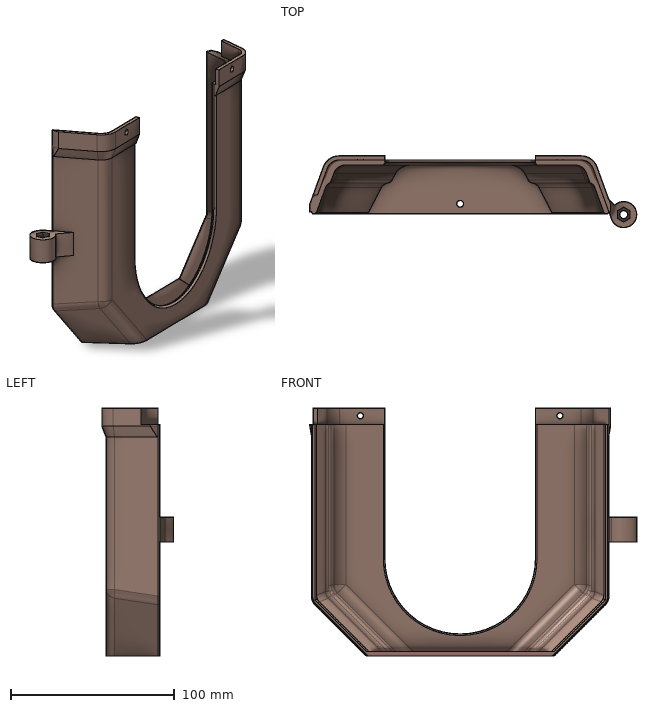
import cadquery as cq
import math

body_height = 141.5
total_height = 151.5
floor_thickness = 3.0
overshoot = 60.0

half_width = 91.3
corner_height = 33.4
wall_slope = 20.0
back_depth = 33.0
blend_radius = 8.0
outer_rim_chamfer = 1.2

thin_wall = 3.0
thick_wall = 4.8
thick_corner_wall = 5.8
plate_thickness = 3.0
step_depth = 19.0
step_corner_radius = 6.0
step_root_radius = 4.2
step_nose_radius = 3.4
step_nose_band = 0.4
inner_rim_chamfer = 0.5
flare_angle = 45.0

opening_radius = 46.0
opening_center_z = 59.5
opening_front_chamfer = 1.0
opening_back_chamfer = 1.2

lip_thickness = 2.5
lip_taper_bottom = 134.0
lip_taper_top = 140.5
lip_front = 1.2
lip_side_limit = 90.7
lip_side_growth = 0.46
lip_embed = 1.0
left_lip_front = 11.5

lip_hole_diameter = 3.5
floor_hole_diameter = 4.0
lip_hole_x = 61.0
lip_hole_z = 146.9
floor_hole_y = 6.2

boss_radius = 8.0
boss_x = 100.0
boss_y = -0.4
boss_bottom = 69.8
boss_height = 15.2
boss_bore = 4.8
nut_flats = 7.8
nut_depth = 6.0
neck_tangent_y = -3.0
neck_back_sum = 99.7
neck_root_y = 14.0

slope_rad = math.radians(wall_slope)
trim_size = 4 * half_width


def wall_x(y, offset=0.0):
    """X of the right outer wall at depth y, moved outwards by a normal offset."""
    return half_width - y * math.tan(slope_rad) + offset / math.cos(slope_rad)


def upright_plane(y):
    """Sketch plane facing the back, with Z upwards."""
    return cq.Workplane(cq.Plane(origin=(0, y, 0), xDir=(-1, 0, 0), normal=(0, 1, 0)))


def horizontal_slab(bottom, top):
    """Wide slab between two heights."""
    return cq.Workplane("XY").workplane(offset=bottom).rect(trim_size, trim_size).extrude(top - bottom)


def tapered_block(side_inset, corner_inset, depth, taper=wall_slope):
    """Solid between the side and corner walls, inset along their normals, back to depth."""
    side = half_width - side_inset / math.cos(slope_rad)
    diagonal_rise = corner_height - half_width + corner_inset / math.cos(slope_rad) * math.sqrt(2)
    turn = side + diagonal_rise
    top = total_height + overshoot
    outline = [(-side, top), (-side, turn), (0, diagonal_rise), (side, turn), (side, top)]
    return upright_plane(0).polyline(outline).close().extrude(depth, taper=taper)


def corner_edges(block):
    """Edges where the side walls meet the corner walls."""
    def on_turn(edge):
        center = edge.Center()
        return abs(center.x) > opening_radius and center.z < body_height

    picked = [e for e in block.edges("not #Y").vals() if on_turn(e)]
    return block.newObject(picked)


def rounded_block(side_inset, corner_inset, depth, corner_radius, back_radius):
    """Tapered block with rounded wall corners and rounded back edges."""
    block = tapered_block(side_inset, corner_inset, depth)
    block = corner_edges(block).fillet(corner_radius)
    return block.faces(">Y").edges().fillet(back_radius)


def make_envelope():
    """Solid outer form of the shell, with its open front rim chamfered."""
    block = rounded_block(0, 0, back_depth, blend_radius, blend_radius)
    return block.faces("<Y").edges().chamfer(outer_rim_chamfer)


def is_step_nose(edge):
    """True for the edges where the step runs into the narrower rear part."""
    box = edge.BoundingBox()
    return step_depth - step_nose_band < box.ymin and box.ymax < step_depth


def make_cavity():
    """Hollow of the shell: a wide front part, a rounded step and a narrower rear part."""
    wide = rounded_block(thin_wall, thin_wall, step_depth, step_corner_radius, step_root_radius)
    narrow_depth = back_depth - plate_thickness
    narrow = rounded_block(thick_wall, thick_corner_wall, narrow_depth, blend_radius, blend_radius)
    cavity = wide.union(narrow).intersect(horizontal_slab(floor_thickness, total_height))
    nose = [e for e in cavity.edges().vals() if is_step_nose(e)]
    cavity = cavity.newObject(nose).fillet(step_nose_radius)
    flare_inset = thin_wall - inner_rim_chamfer
    rim_flare = tapered_block(flare_inset, flare_inset, 2 * inner_rim_chamfer, taper=flare_angle)
    return cavity.union(rim_flare.intersect(horizontal_slab(floor_thickness, total_height)))


def make_opening():
    """U-shaped cutter with flared front and back rims."""
    def slot(y, radius, depth, taper=0):
        top = total_height + overshoot
        return (
            upright_plane(y)
            .moveTo(-radius, top)
            .lineTo(-radius, opening_center_z)
            .threePointArc((0, opening_center_z - radius), (radius, opening_center_z))
            .lineTo(radius, top)
            .close()
            .extrude(depth, taper=taper)
        )

    plate_front = back_depth - plate_thickness
    through = slot(plate_front, opening_radius, plate_thickness)
    front_radius = opening_radius + opening_front_chamfer
    front_flare = slot(plate_front, front_radius, opening_front_chamfer, flare_angle)
    back_radius = opening_radius + opening_back_chamfer
    back_flare = slot(back_depth, back_radius, -opening_back_chamfer, flare_angle)
    return through.union(front_flare).union(back_flare)


def make_body(envelope):
    """Shell with a floor, hollowed from the front and opened at the back."""
    body = envelope.intersect(horizontal_slab(0, body_height))
    return body.cut(make_cavity()).cut(make_opening())


def lip_section(z, thickness):
    """Closed wire of the right lip at height z, with the given outward thickness."""
    center_y = back_depth - blend_radius
    center_x = wall_x(center_y, -blend_radius)

    def on_arc(offset, angle):
        radius = blend_radius + offset
        rad = math.radians(angle)
        return (center_x + radius * math.cos(rad), center_y + radius * math.sin(rad))

    side_x = lip_side_limit + lip_side_growth * thickness
    side_y = (wall_x(0, thickness) - side_x) / math.tan(slope_rad)
    middle = (wall_slope + 90) / 2
    return (
        cq.Workplane("XY", origin=(0, 0, z))
        .moveTo(opening_radius, back_depth + thickness)
        .lineTo(center_x, back_depth + thickness)
        .threePointArc(on_arc(thickness, middle), on_arc(thickness, wall_slope))
        .lineTo(side_x, side_y)
        .lineTo(side_x, lip_front)
        .lineTo(wall_x(lip_front, -lip_embed), lip_front)
        .lineTo(*on_arc(-lip_embed, wall_slope))
        .threePointArc(on_arc(-lip_embed, middle), on_arc(-lip_embed, 90))
        .lineTo(opening_radius, back_depth - lip_embed)
        .close()
    )


def make_lip(envelope):
    """Right lip: a taper growing out of the wall, then a straight band above the body."""
    lower = lip_section(lip_taper_bottom, 0).val()
    upper = lip_section(lip_taper_top, lip_thickness).val()
    taper = cq.Workplane(cq.Solid.makeLoft([lower, upper], True))
    band = lip_section(lip_taper_top, lip_thickness).extrude(total_height - lip_taper_top)
    clearance = envelope.intersect(horizontal_slab(body_height, total_height))
    return taper.union(band).cut(clearance)


def make_left_lip(right_lip):
    """Mirrored lip, shortened at its front end above the body."""
    above_body = horizontal_slab(body_height, total_height)
    front_end = above_body.translate((0, left_lip_front - trim_size / 2, 0))
    return right_lip.mirror("YZ").cut(front_end)


def boss_plane(rise=0):
    """Horizontal sketch plane centred on the boss, at a rise above its bottom."""
    return cq.Workplane("XY", origin=(boss_x, boss_y, boss_bottom + rise))


def make_hinge():
    """Round boss and the neck that joins it to the right wall."""
    boss = boss_plane().circle(boss_radius).extrude(boss_height)
    tangent_x = boss_x - math.sqrt(boss_radius**2 - (neck_tangent_y - boss_y) ** 2)
    neck_tip_y = boss_y + boss_radius / 2
    neck = (
        cq.Workplane("XY", origin=(0, 0, boss_bottom))
        .moveTo(wall_x(outer_rim_chamfer), outer_rim_chamfer)
        .lineTo(tangent_x, neck_tangent_y)
        .lineTo(boss_x, boss_y)
        .lineTo(neck_back_sum - neck_tip_y, neck_tip_y)
        .lineTo(neck_back_sum - neck_root_y, neck_root_y)
        .lineTo(wall_x(outer_rim_chamfer, -thin_wall / 2), outer_rim_chamfer)
        .close()
        .extrude(boss_height)
    )
    return boss.union(neck)


def drill_hinge(part):
    """Bore the boss and sink the hexagonal nut pocket into its top."""
    bore = boss_plane().circle(boss_bore / 2).extrude(boss_height)
    pocket = (
        boss_plane(boss_height - nut_depth)
        .transformed(rotate=(0, 0, 90))
        .polygon(6, nut_flats / math.cos(math.radians(30)))
        .extrude(nut_depth)
    )
    return part.cut(bore).cut(pocket)


def drill_screw_holes(part):
    """One hole through each lip and one through the floor."""
    lip_holes = (
        upright_plane(back_depth)
        .pushPoints([(-lip_hole_x, lip_hole_z), (lip_hole_x, lip_hole_z)])
        .circle(lip_hole_diameter / 2)
        .extrude(lip_thickness)
    )
    floor_hole = (
        cq.Workplane("XY")
        .center(0, floor_hole_y)
        .circle(floor_hole_diameter / 2)
        .extrude(floor_thickness)
    )
    return part.cut(lip_holes).cut(floor_hole)


shell_envelope = make_envelope()
right_lip = make_lip(shell_envelope)
result = make_body(shell_envelope).union(right_lip).union(make_left_lip(right_lip))
result = drill_screw_holes(drill_hinge(result.union(make_hinge())))